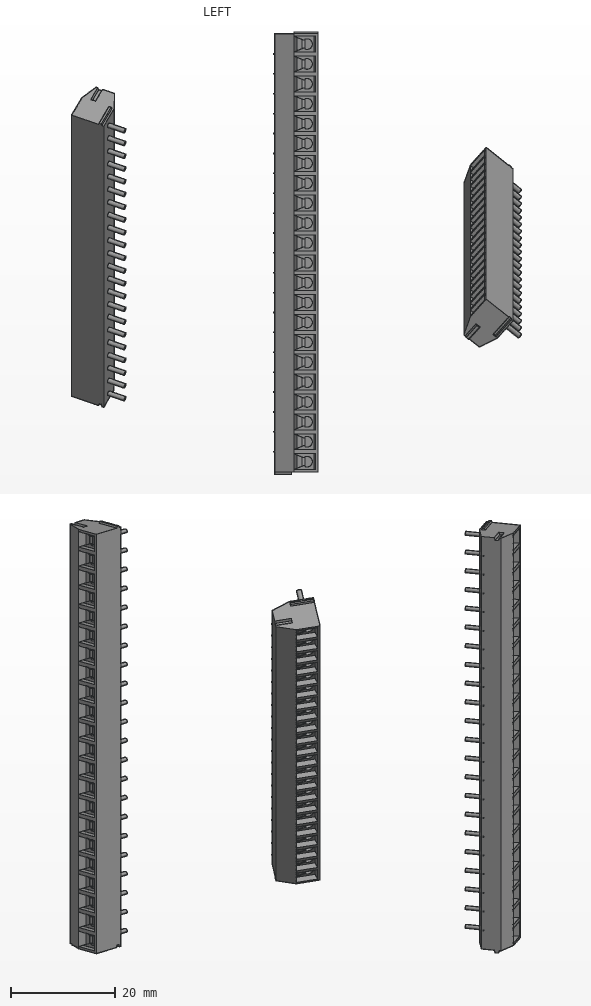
import cadquery as cq
import math

pole_count = 22
pin_row_length = 80.0
pitch = pin_row_length / (pole_count - 1)

body_width = 6.8
body_depth = 8.3
body_height = 84.0
end_margin = (body_height - pin_row_length) / 2
shoulder_y = 4.7
crest_left_x = 1.4
crest_right_x = 5.35

rear_key_x = 2.3
rear_key_root = 1.0
rear_key_tip = 0.6
rear_key_length = 3.2
rear_tongue_height = 0.5
side_key_x = 6.0
side_key_root = 0.8
side_key_tip = 0.4
side_key_length = 4.7
side_tongue_height = 0.3
key_groove_depth = 0.5

pin_y = 2.1
pin_depth = 1.0
pin_height = 0.8
pin_length = 3.5

window_low_y = 0.5
window_high_y = shoulder_y
window_height = 3.05
window_depth = 1.2
window_low_slope = 0.25

slot_depth = 0.2
slot_floor_x = window_depth + slot_depth
slot_neck_y = 2.8
slot_neck_height = 1.5
slot_ramp_start_y = 3.05
slot_ramp_end_y = 2.55
slot_ramp_step = 0.1
slot_ramp_drop = 0.2
slot_ramp_start_x = slot_floor_x + slot_ramp_step
slot_ramp_end_x = slot_ramp_start_x + slot_ramp_drop
gutter_width = 0.6
gutter_depth = 0.85
gutter_floor_x = slot_floor_x + gutter_depth

screw_y = pin_y
screw_radius = 1.0
screw_depth = 0.6
screw_floor_x = window_depth + screw_depth
screw_half_chord = math.sqrt(screw_radius**2 - (slot_ramp_end_y - screw_y) ** 2)

bump_x = 4.9
bump_size = 0.13
bump_height = 0.25


def pole_z(index):
    return end_margin + index * pitch


def make_housing():
    outline = [
        (0, 0),
        (body_width, 0),
        (body_width, shoulder_y),
        (crest_right_x, body_depth),
        (crest_left_x, body_depth),
        (0, shoulder_y),
    ]
    return cq.Workplane("XY").polyline(outline).close().extrude(body_height)


def make_key(center_x, start_y, length, base_z, height, root, tip):
    """Bar along Y that tapers from root width at base_z to tip width at base_z + height."""
    section = [
        (center_x - root / 2, base_z),
        (center_x + root / 2, base_z),
        (center_x + tip / 2, base_z + height),
        (center_x - tip / 2, base_z + height),
    ]
    return cq.Workplane("XZ", origin=(0, start_y, 0)).polyline(section).close().extrude(-length)


def make_pin(z):
    root = cq.Workplane("YZ", origin=(body_width, pin_y, z))
    return root.ellipse(pin_depth / 2, pin_height / 2).extrude(pin_length)


def make_window(z):
    """Cutter for one window, with the wire slot and the screw recess in its floor."""
    bottom = cq.Workplane("XY", origin=(0, 0, z - window_height / 2))
    face = cq.Workplane("YZ", origin=(0, 0, z))

    pocket_section = [
        (0, window_low_y),
        (0, window_high_y),
        (window_depth, window_high_y),
        (window_depth, window_low_y + window_low_slope),
    ]
    pocket = bottom.polyline(pocket_section).close().extrude(window_height)

    slot_section = [
        (0, slot_ramp_end_y),
        (0, window_high_y),
        (gutter_floor_x, window_high_y),
        (slot_floor_x, window_high_y - gutter_width),
        (slot_floor_x, slot_ramp_start_y),
        (slot_ramp_start_x, slot_ramp_start_y),
        (slot_ramp_end_x, slot_ramp_end_y),
    ]
    slot_outline = [
        (window_high_y, window_height / 2),
        (slot_neck_y, slot_neck_height / 2),
        (slot_ramp_end_y, slot_neck_height / 2),
        (slot_ramp_end_y, -slot_neck_height / 2),
        (slot_neck_y, -slot_neck_height / 2),
        (window_high_y, -window_height / 2),
    ]
    slot_profile = bottom.polyline(slot_section).close().extrude(window_height)
    slot = face.polyline(slot_outline).close().extrude(gutter_floor_x).intersect(slot_profile)

    chord_start = (slot_ramp_end_y, -screw_half_chord)
    chord_end = (slot_ramp_end_y, screw_half_chord)
    arc_middle = (screw_y - screw_radius, 0)
    screw_outline = face.moveTo(*chord_start).threePointArc(arc_middle, chord_end).close()
    screw_recess = screw_outline.extrude(screw_floor_x)
    return pocket.union(slot).union(screw_recess)


def make_bump(z):
    center = (bump_x, body_depth, z)
    return cq.Workplane("XY", origin=center).box(bump_size, 2 * bump_height, bump_size)


rear_key_start = body_depth - rear_key_length
rear_groove = make_key(rear_key_x, rear_key_start, rear_key_length, body_height,
                       -key_groove_depth, rear_key_root, rear_key_tip)
rear_tongue = make_key(rear_key_x, rear_key_start, rear_key_length, 0,
                       -rear_tongue_height, rear_key_root, rear_key_tip)
side_groove = make_key(side_key_x, 0, side_key_length, 0,
                       key_groove_depth, side_key_root, side_key_tip)
side_tongue = make_key(side_key_x, 0, side_key_length, body_height,
                       side_tongue_height, side_key_root, side_key_tip)
result = make_housing()
result = result.cut(rear_groove).cut(side_groove).union(rear_tongue).union(side_tongue)

for index in range(pole_count):
    result = result.cut(make_window(pole_z(index))).union(make_pin(pole_z(index)))

for index in range(pole_count - 1):
    result = result.union(make_bump(pole_z(index) + pitch / 2))